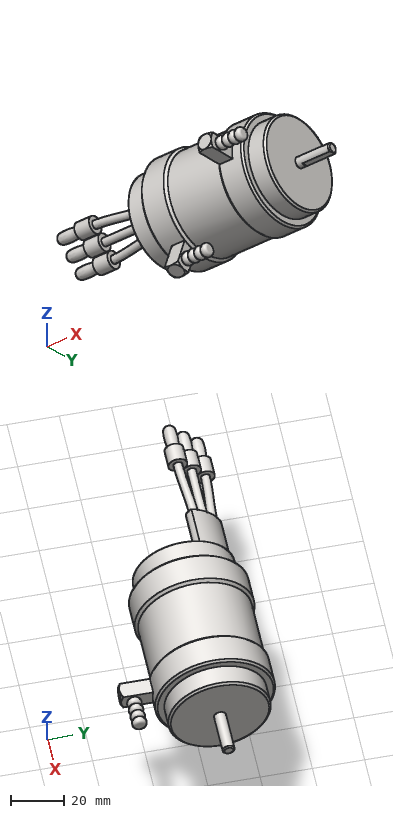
import cadquery as cq
import math


can_start = 56.0
can_end = 124.1
can_radius = 39.3 / 2
edge_chamfer = 0.8
rear_edge_chamfer = 0.4

jacket_start = 65.2
jacket_end = 115.8
jacket_radius = 43.8 / 2
collar_radius = 46.0 / 2
collar_width = 12.7
collar_step = collar_radius - jacket_radius

shaft_end = 140.8
shaft_radius = 4.6 / 2
shaft_embed = 1.4
shaft_chamfer = 0.5
shaft_flat_start = 126.8
shaft_flat_depth = 0.4

arm_width = 6.5
arm_reach = 35.0
arm_corner_drop = 0.8
arm_embed = 2.8
arm_root = jacket_radius - arm_embed
front_arm_angle = 0
rear_arm_angle = 70
nozzle_reach = 30.3
barb_count = 4
barb_pitch = 3.1
barb_root_radius = 2.1
barb_peak_radius = 2.8
barb_tip_rounding = 1.0
nozzle_embed = 0.3

row_angle = 45
row_radius = 15.3
sleeve_start = 40.4
sleeve_wire_pitch = 5.2
sleeve_width = 16.2
sleeve_inner_radius = 12.8
sleeve_outer_radius = 18.7
sleeve_corner_fillet = 3.1
wire_radius = 3.5 / 2
cable_embed = 1.4

connector_pitch = 7.5
connector_radius = 7.3 / 2
connector_start = 10.8
connector_end = 18.2
pin_radius = 4.8 / 2
pin_bulge_radius = 5.2 / 2
pin_tip_length = 1.8
pin_barrel_end = 8.2


def cylinder(start, end, radius):
    """Cylinder along the motor axis."""
    return cq.Workplane("YZ", origin=(start, 0, 0)).circle(radius).extrude(end - start)


def make_can():
    can = cylinder(can_start, can_end, can_radius)
    can = can.faces("<X").chamfer(rear_edge_chamfer)
    return can.faces(">X").chamfer(edge_chamfer)


def make_collar(start, outer_side, inner_side):
    collar = cylinder(start, start + collar_width, collar_radius)
    collar = collar.faces(inner_side).chamfer(collar_step)
    return collar.faces(outer_side).chamfer(edge_chamfer)


def make_jacket():
    tube = cylinder(jacket_start, jacket_end, jacket_radius)
    rear_collar = make_collar(jacket_start, "<X", ">X")
    front_collar = make_collar(jacket_end - collar_width, ">X", "<X")
    return tube.union(rear_collar).union(front_collar)


def make_shaft():
    shaft = cylinder(can_end - shaft_embed, shaft_end, shaft_radius).faces(">X").chamfer(shaft_chamfer)
    flat_length = shaft_end - shaft_flat_start
    flat_cut = cq.Workplane("XY", origin=(shaft_flat_start, 0, -shaft_radius)).box(
        flat_length, 2 * shaft_radius, shaft_flat_depth, centered=(False, True, False)
    )
    return shaft.cut(flat_cut)


def make_nozzle(start):
    """Barbed hose nozzle along X, centred on the motor axis."""
    profile = cq.Workplane("XY").moveTo(start, 0).lineTo(start, barb_root_radius)
    for barb in range(barb_count):
        barb_start = start + barb * barb_pitch
        peak = (barb_start + barb_pitch / 2, barb_peak_radius)
        profile = profile.threePointArc(peak, (barb_start + barb_pitch, barb_root_radius))
    nozzle_end = start + barb_count * barb_pitch
    profile = profile.lineTo(nozzle_end, 0).close()
    nozzle = profile.revolve(360, (0, 0, 0), (1, 0, 0))
    return nozzle.faces(">X").edges().fillet(barb_tip_rounding)


def make_fitting(arm_start, angle):
    """Arm and nozzle pointing along -Y, turned about the motor axis toward -Z."""
    arm_length = arm_reach - arm_root
    arm_centre = arm_start + arm_width / 2
    root_plane = cq.Plane(origin=(arm_centre, -arm_root, 0), xDir=(1, 0, 0), normal=(0, -1, 0))
    arm = cq.Workplane(root_plane).rect(arm_width, arm_width).extrude(arm_length)
    corner_radius = arm_width / math.sqrt(2)
    trim = cq.Workplane(root_plane).circle(corner_radius).extrude(arm_length)
    trim = trim.faces("<Y").chamfer(arm_corner_drop, corner_radius - arm_width / 2)
    nozzle = make_nozzle(arm_start + arm_width - nozzle_embed).translate((0, -nozzle_reach, 0))
    fitting = arm.intersect(trim).union(nozzle)
    return fitting.rotate((0, 0, 0), (1, 0, 0), angle)


def make_sleeve():
    """Cable sleeve curved around the motor axis, with flat ends and rounded inner corners."""
    sleeve_end = can_start + cable_embed
    ring = cylinder(sleeve_start, sleeve_end, sleeve_outer_radius)
    ring = ring.cut(cylinder(sleeve_start, sleeve_end, sleeve_inner_radius))
    sector = cq.Workplane("XY", origin=(sleeve_start, 0, 0)).box(
        sleeve_end - sleeve_start, sleeve_width, sleeve_outer_radius, centered=(False, True, False)
    )
    sleeve = ring.intersect(sector)
    return sleeve.edges("|X").edges("<Z").fillet(sleeve_corner_fillet)


def make_wire(side):
    """Wire that spreads from the sleeve to its connector in a gentle S."""
    connector_y = side * connector_pitch
    sleeve_y = side * sleeve_wire_pitch
    start = connector_end - cable_embed
    path = cq.Workplane("XY", origin=(0, 0, row_radius)).spline(
        [(start, connector_y), (sleeve_start + cable_embed, sleeve_y)],
        tangents=[(1, 0), (1, 0)],
    )
    section = cq.Workplane("YZ", origin=(start, connector_y, row_radius)).circle(wire_radius)
    return section.sweep(path)


def make_connector(side):
    """Bullet connector: domed pin with a slightly bulged barrel, neck and collar."""
    dome_radius = (pin_tip_length**2 + pin_radius**2) / (2 * pin_tip_length)
    half_sweep = math.asin(pin_radius / dome_radius) / 2
    dome_middle = (dome_radius * (1 - math.cos(half_sweep)), dome_radius * math.sin(half_sweep))
    barrel_middle = ((pin_tip_length + pin_barrel_end) / 2, pin_bulge_radius)
    profile = (
        cq.Workplane("XY")
        .threePointArc(dome_middle, (pin_tip_length, pin_radius))
        .threePointArc(barrel_middle, (pin_barrel_end, pin_radius))
        .lineTo(connector_start, pin_radius)
        .lineTo(connector_start, connector_radius)
        .lineTo(connector_end, connector_radius)
        .lineTo(connector_end, 0)
        .close()
    )
    connector = profile.revolve(360, (0, 0, 0), (1, 0, 0))
    return connector.translate((0, side * connector_pitch, row_radius))


def make_cables():
    cables = make_sleeve()
    for side in (-1, 0, 1):
        cables = cables.union(make_wire(side)).union(make_connector(side))
    return cables.rotate((0, 0, 0), (1, 0, 0), -row_angle)


rear_arm_start = jacket_start + collar_width - collar_step - arm_width
front_arm_start = jacket_end - collar_width + collar_step

result = (
    make_can()
    .union(make_jacket())
    .union(make_shaft())
    .union(make_fitting(rear_arm_start, rear_arm_angle))
    .union(make_fitting(front_arm_start, front_arm_angle))
    .union(make_cables())
)